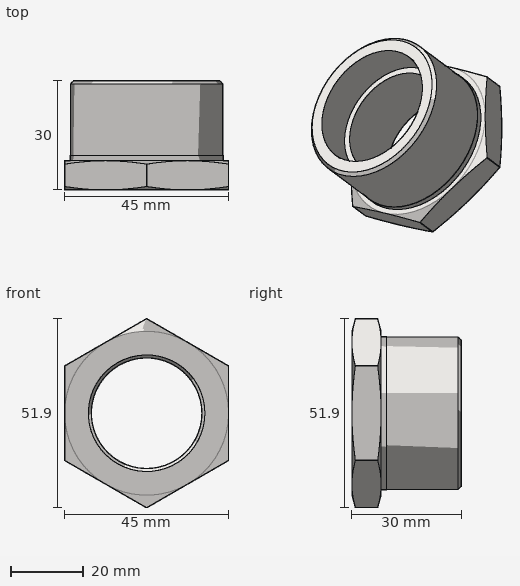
import math

import cadquery as cq

hexagon_sides = 6
across_flats = 45.0
head_length = 8.0
corner_diameter = 51.87
corner_chamfer_angle = 15.0

total_length = 30.0
collar_diameter = 42.11
collar_length = 1.5
thread_diameter = 41.91
thread_chamfer = 0.9

bore_diameter = 30.29
bore_chamfer = 0.85
relief_diameter = 33.65
bore_length = 19.1


def revolve_about_y(profile):
    """Solid of revolution about Y from (radius, y) points."""
    return cq.Workplane("XY").polyline(profile).close().revolve(360, (0, 0, 0), (0, 1, 0))


def make_head():
    """Hexagon with flats facing +X and -X, its corners turned and chamfered on both faces."""
    across_corners = across_flats / math.cos(math.pi / hexagon_sides)
    hexagon = (
        cq.Workplane("XZ")
        .transformed(rotate=(0, 0, 90))
        .polygon(hexagon_sides, across_corners)
        .extrude(-head_length)
    )
    face_radius = across_flats / 2
    corner_radius = corner_diameter / 2
    chamfer_length = (corner_radius - face_radius) * math.tan(math.radians(corner_chamfer_angle))
    envelope = revolve_about_y([
        (0, 0),
        (face_radius, 0),
        (corner_radius, chamfer_length),
        (corner_radius, head_length - chamfer_length),
        (face_radius, head_length),
        (0, head_length),
    ])
    return hexagon.intersect(envelope)


def make_shank():
    """Short collar behind the head, then the thread diameter with a chamfered end."""
    collar_radius = collar_diameter / 2
    thread_radius = thread_diameter / 2
    collar_end = head_length + collar_length
    return revolve_about_y([
        (0, head_length),
        (collar_radius, head_length),
        (collar_radius, collar_end),
        (thread_radius, collar_end),
        (thread_radius, total_length - thread_chamfer),
        (thread_radius - thread_chamfer, total_length),
        (0, total_length),
    ])


def make_bore():
    """Bore with a chamfered mouth in the head face and a wider relief at the rear."""
    bore_radius = bore_diameter / 2
    relief_radius = relief_diameter / 2
    return revolve_about_y([
        (0, 0),
        (bore_radius + bore_chamfer, 0),
        (bore_radius, bore_chamfer),
        (bore_radius, bore_length),
        (relief_radius, bore_length),
        (relief_radius, total_length),
        (0, total_length),
    ])


result = make_head().union(make_shank()).cut(make_bore())